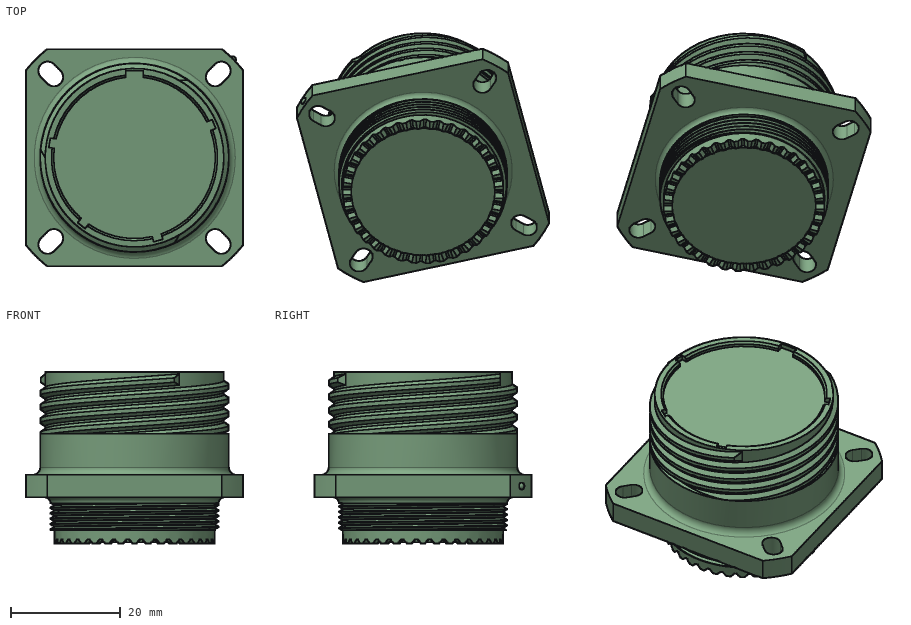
import cadquery as cq
import math

flange_side = 39.65
flange_thickness = 4.15
flange_corner_radius = 25.45
slot_radius = 1.65
slot_inner_offset = 14.7
slot_outer_offset = 15.85
dot_radius = 0.67
dot_distance = 25.25

total_height = 31.32
tail_top = 2.45
neck_bottom = 7.37
flange_bottom = 8.4
flange_top = flange_bottom + flange_thickness
body_fillet_height = 1.35
body_fillet_radius = 1.4
neck_fillet_radius = 1.07
thread_shoulder = 20.05

tail_radius = 14.67
rear_thread_root = 14.7
rear_thread_crest = 15.35
neck_radius = 15.4
neck_foot_radius = 16.25
body_radius = 17.25
body_foot_radius = 18.35
front_thread_root = 16.3
front_thread_crest = 17.2

start_count = 3
front_lead = 7.55
front_crest_width = 0.8
front_base_width = 2.05
front_end_height = 29.95
front_end_angle = 60.0
front_end_bevel = 60.0
front_spare_turn = 15.0

rear_pitch = 1.0
rear_crest_width = 0.1
rear_base_width = 0.87
rear_start_height = 2.05

recess_radius = 14.75
recess_depth = 0.95
recess_chamfer = 0.4
master_key_angle = 90.0
master_key_width = 3.17
master_key_reach = 15.85
minor_key_angles = (170.0, 232.0, 286.0, 23.0)
minor_key_width = 1.75
minor_key_reach = 15.75

tooth_count = 36
tooth_height = 0.75
tooth_gap_mouth = 1.8
tooth_gap_root = 0.4
tooth_core_radius = 13.1
tooth_core_setback = 0.2

thread_overlap = 0.2
cut_margin = 1.2


def disc(radius, bottom, top):
    return cq.Workplane("XY").workplane(offset=bottom).circle(radius).extrude(top - bottom)


def turn(shape, angle):
    """Rotate a shape around the main axis."""
    return shape.rotate((0, 0, 0), (0, 0, 1), angle)


def round_body():
    """Turned body with the flared feet that meet both faces of the flange."""
    return (
        cq.Workplane("XZ")
        .moveTo(0, 0)
        .lineTo(tail_radius, 0)
        .lineTo(tail_radius, tail_top)
        .lineTo(rear_thread_root, tail_top)
        .lineTo(rear_thread_root, neck_bottom)
        .lineTo(neck_radius, neck_bottom)
        .radiusArc((neck_foot_radius, flange_bottom), neck_fillet_radius)
        .lineTo(body_foot_radius, flange_top)
        .radiusArc((body_radius, flange_top + body_fillet_height), body_fillet_radius)
        .lineTo(body_radius, thread_shoulder)
        .lineTo(front_thread_root, thread_shoulder)
        .lineTo(front_thread_root, total_height)
        .lineTo(0, total_height)
        .close()
        .revolve(360, (0, 0, 0), (0, 1, 0))
    )


def flange():
    """Square plate with rounded-off corners and an alignment dot on one of them."""
    plate = (
        cq.Workplane("XY")
        .workplane(offset=flange_bottom)
        .rect(flange_side, flange_side)
        .extrude(flange_thickness)
        .intersect(disc(flange_corner_radius, flange_bottom, flange_top))
    )
    dot_offset = dot_distance / math.sqrt(2)
    dot = cq.Workplane("XY").sphere(dot_radius)
    return plate.union(dot.translate((dot_offset, dot_offset, flange_bottom + flange_thickness / 2)))


def mounting_slots():
    """Radial slots through the four corners of the flange."""
    slot_length = math.sqrt(2) * (slot_outer_offset - slot_inner_offset) + 2 * slot_radius
    slot_distance = (slot_outer_offset + slot_inner_offset) / math.sqrt(2)
    slot = (
        cq.Workplane("XY")
        .workplane(offset=flange_bottom)
        .center(slot_distance, 0)
        .slot2D(slot_length, 2 * slot_radius)
        .extrude(flange_thickness)
    )
    slots = cq.Workplane("XY")
    for corner in range(4):
        slots = slots.add(turn(slot, 45 + 90 * corner))
    return slots


def thread_ridge(root, crest, base_width, crest_width, lead, height):
    """Trapezoidal ridge climbing from angle 0 at Z = 0."""
    flank_slope = (base_width - crest_width) / 2 / (crest - root)
    half_crest = crest_width / 2
    half_foot = base_width / 2 + flank_slope * thread_overlap
    foot = root - thread_overlap
    helix = cq.Workplane(cq.Wire.makeHelix(lead, height, root))
    return (
        cq.Workplane("XZ")
        .polyline([(foot, -half_foot), (crest, -half_crest), (crest, half_crest), (foot, half_foot)])
        .close()
        .sweep(helix, isFrenet=True)
    )


def front_thread():
    """Three ridges clipped at the shoulder, each ending in a bevelled face at the top."""
    run = front_end_height - thread_shoulder + front_base_width
    ridge = thread_ridge(
        front_thread_root,
        front_thread_crest,
        front_base_width,
        front_crest_width,
        front_lead,
        run + front_lead * front_spare_turn / 360,
    )
    ridge = ridge.translate((0, 0, front_end_height - run))
    ridge = turn(ridge, -360 * run / front_lead)
    block = 3 * front_base_width
    end_cut = cq.Workplane("XY").box(2 * block, block, block, centered=(True, False, True))
    end_cut = turn(end_cut, -front_end_bevel)
    end_cut = end_cut.translate((front_thread_root, 0, front_end_height + front_base_width))
    ridge = ridge.cut(end_cut).intersect(disc(flange_corner_radius, thread_shoulder, total_height))
    step = 360 / start_count
    return [turn(ridge, front_end_angle + step * start) for start in range(start_count)]


def rear_thread():
    """Fine ridge between the tail and the neck."""
    ridge = thread_ridge(
        rear_thread_root,
        rear_thread_crest,
        rear_base_width,
        rear_crest_width,
        rear_pitch,
        neck_bottom - rear_start_height + rear_pitch,
    )
    return ridge.translate((0, 0, rear_start_height)).intersect(disc(body_radius, tail_top, neck_bottom))


def front_recess():
    """Shallow round recess with a chamfered mouth and five keyways."""
    floor = total_height - recess_depth
    recess = disc(recess_radius, floor, total_height)
    mouth = (
        cq.Workplane("XY")
        .workplane(offset=total_height)
        .circle(recess_radius + recess_chamfer)
        .workplane(offset=-recess_chamfer)
        .circle(recess_radius)
        .loft()
    )
    recess = recess.union(mouth)
    keys = [(angle, minor_key_width, minor_key_reach) for angle in minor_key_angles]
    keys.append((master_key_angle, master_key_width, master_key_reach))
    for angle, width, reach in keys:
        key = cq.Workplane("XY").box(reach, width, recess_depth, centered=(False, True, False))
        recess = recess.union(turn(key.translate((0, 0, floor)), angle))
    return recess


def tooth_gaps():
    """Tapered radial gaps around a set-back core, with a tooth centred on each main axis."""
    gap = (
        cq.Workplane("YZ")
        .polyline(
            [
                (-tooth_gap_mouth / 2, 0),
                (tooth_gap_mouth / 2, 0),
                (tooth_gap_root / 2, tooth_height),
                (-tooth_gap_root / 2, tooth_height),
            ]
        )
        .close()
        .extrude(tail_radius + cut_margin)
    )
    ring_gap = gap.cut(disc(tooth_core_radius, 0, tooth_height))
    gaps = disc(tooth_core_radius, 0, tooth_core_setback)
    step = 360 / tooth_count
    for tooth in range(tooth_count):
        gaps = gaps.union(turn(ring_gap, step * (tooth + 0.5)))
    return gaps


result = round_body().union(flange())
for ridge in front_thread():
    result = result.union(ridge)
result = result.union(rear_thread())
result = result.cut(mounting_slots()).cut(front_recess()).cut(tooth_gaps())